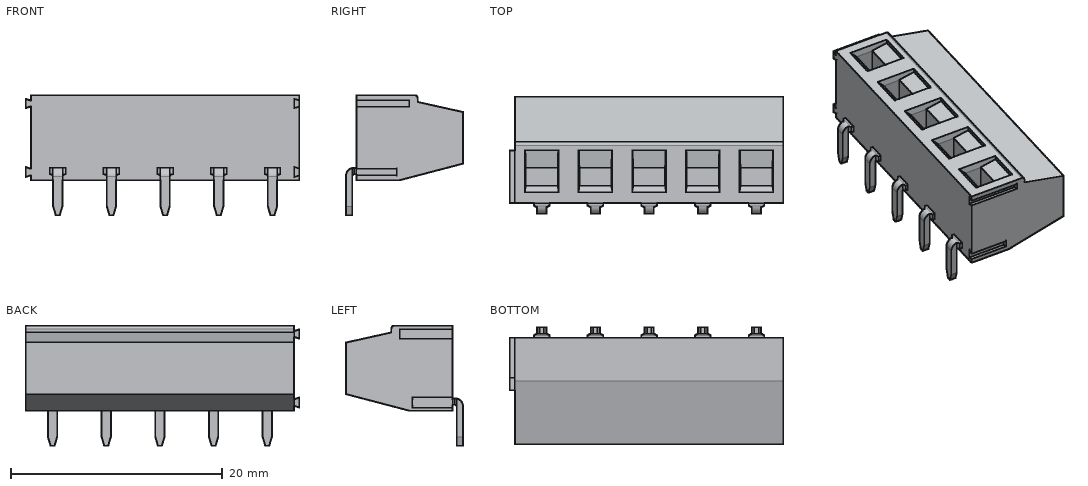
import cadquery as cq


total_width = 25.9
total_depth = 11.1
total_height = 11.4

dovetail_depth = 0.5
pin_reach = 1.0
body_height = 8.08
body_width = total_width - dovetail_depth
body_depth = total_depth - pin_reach
bottom_flat_depth = 4.07
rear_bottom_z = 1.58
rear_top_z = 6.48
step_y = 5.8
step_z = 7.43
step_radius = 0.3

contact_count = 5
pitch = body_width / contact_count
contact_xs = [(i + 0.5) * pitch for i in range(contact_count)]

well_width = 3.2
well_front_y = 1.04
well_rear_y = 5.0
well_side_taper = 0.1
funnel_depth = 0.62
rear_wall_depth = 0.35
shaft_front_y = 1.63
shaft_rear_y = 3.37
shaft_floor_z = body_height / 2

dovetails = [(0.3, 1.27, 3.8), (6.85, 7.72, 5.0)]
dovetail_flank = 0.15

pin_width = 0.9
pin_thickness = 0.62
pin_tip_width = 0.4
pin_tip_height = 0.88
pin_bottom_z = body_height - total_height
pin_inner_y = pin_reach - pin_thickness
collar_width = 1.5
collar_base = 0.23
collar_top_z = 1.2
collar_bottom_z = collar_top_z - pin_thickness
bend_outer_radius = pin_reach - collar_base
bend_inner_radius = bend_outer_radius - pin_thickness
bend_z = collar_top_z - bend_outer_radius


def extrude_along_x(points, width, center_x):
    """Extrude a (y, z) outline along X, centred on center_x."""
    return (
        cq.Workplane("YZ", origin=(center_x - width / 2, 0, 0))
        .polyline(points)
        .close()
        .extrude(width)
    )


def make_housing():
    outline = [
        (0, 0),
        (bottom_flat_depth, 0),
        (body_depth, rear_bottom_z),
        (body_depth, rear_top_z),
        (step_y, step_z),
        (step_y, body_height),
        (0, body_height),
    ]
    housing = extrude_along_x(outline, body_width, body_width / 2)
    step_edge = cq.selectors.NearestToPointSelector((body_width / 2, step_y, body_height))
    return housing.edges(step_edge).fillet(step_radius)


def make_well(center_x):
    """Cutter: funnel with tapered sides and sloped ends, above a straight shaft."""
    funnel_bottom_z = body_height - funnel_depth
    outline = [
        (well_front_y, body_height),
        (shaft_front_y, funnel_bottom_z),
        (shaft_rear_y, funnel_bottom_z),
        (well_rear_y, body_height - rear_wall_depth),
        (well_rear_y, body_height),
    ]
    funnel = extrude_along_x(outline, well_width, center_x)

    shaft_half_width = well_width / 2 - well_side_taper
    tapered_sides = (
        cq.Workplane("XZ")
        .polyline([
            (center_x - well_width / 2, body_height),
            (center_x + well_width / 2, body_height),
            (center_x + shaft_half_width, funnel_bottom_z),
            (center_x - shaft_half_width, funnel_bottom_z),
        ])
        .close()
        .extrude(-body_depth)
    )

    shaft_length = shaft_rear_y - shaft_front_y
    shaft_height = funnel_bottom_z - shaft_floor_z
    shaft = (
        cq.Workplane("XY", origin=(center_x, shaft_front_y, shaft_floor_z))
        .box(2 * shaft_half_width, shaft_length, shaft_height, centered=(True, False, False))
    )
    return funnel.intersect(tapered_sides).union(shaft)


def make_dovetail(bottom_z, top_z, length, outer_x):
    """Dovetail bar from the front face, widest at outer_x and narrowing towards +X."""
    return (
        cq.Workplane("XZ")
        .polyline([
            (outer_x, bottom_z),
            (outer_x + dovetail_depth, bottom_z + dovetail_flank),
            (outer_x + dovetail_depth, top_z - dovetail_flank),
            (outer_x, top_z),
        ])
        .close()
        .extrude(-length)
    )


def make_pin(center_x):
    """Flat contact: wide collar tapering to a pin that bends down to a pointed tip."""
    strip_outline = (
        cq.Workplane("YZ", origin=(center_x - collar_width / 2, 0, 0))
        .moveTo(0, collar_top_z)
        .lineTo(-collar_base, collar_top_z)
        .radiusArc((-pin_reach, bend_z), -bend_outer_radius)
        .lineTo(-pin_reach, pin_bottom_z)
        .lineTo(-pin_inner_y, pin_bottom_z)
        .lineTo(-pin_inner_y, bend_z)
        .radiusArc((-collar_base, collar_bottom_z), bend_inner_radius)
        .lineTo(0, collar_bottom_z)
        .close()
    )
    strip = strip_outline.extrude(collar_width)

    half_collar = collar_width / 2
    half_pin = pin_width / 2
    half_tip = pin_tip_width / 2
    plan_shape = (
        cq.Workplane("XY", origin=(center_x, 0, pin_bottom_z))
        .polyline([
            (-half_collar, 0),
            (-half_collar, -collar_base),
            (-half_pin, -pin_inner_y),
            (-half_pin, -pin_reach),
            (half_pin, -pin_reach),
            (half_pin, -pin_inner_y),
            (half_collar, -collar_base),
            (half_collar, 0),
        ])
        .close()
        .extrude(collar_top_z - pin_bottom_z)
    )

    tip_shoulder_z = pin_bottom_z + pin_tip_height
    front_shape = (
        cq.Workplane("XZ", origin=(center_x, 0, 0))
        .polyline([
            (-half_collar, collar_top_z),
            (-half_collar, bend_z),
            (-half_pin, bend_z),
            (-half_pin, tip_shoulder_z),
            (-half_tip, pin_bottom_z),
            (half_tip, pin_bottom_z),
            (half_pin, tip_shoulder_z),
            (half_pin, bend_z),
            (half_collar, bend_z),
            (half_collar, collar_top_z),
        ])
        .close()
        .extrude(pin_reach)
    )
    return strip.intersect(plan_shape).intersect(front_shape)


result = make_housing()

for bottom_z, top_z, length in dovetails:
    result = result.union(make_dovetail(bottom_z, top_z, length, -dovetail_depth))
    result = result.cut(make_dovetail(bottom_z, top_z, length, body_width - dovetail_depth))

for contact_x in contact_xs:
    result = result.cut(make_well(contact_x))
    result = result.union(make_pin(contact_x))